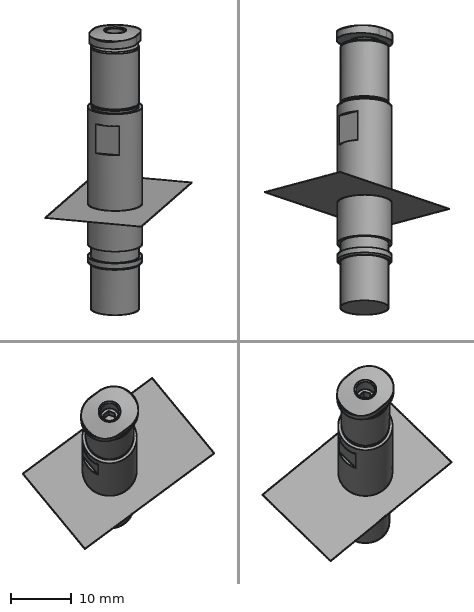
import cadquery as cq

total_height = 47.95

shaft_diameter = 8.0
shaft_radius = shaft_diameter / 2
sleeve_radius = 4.5
collar_radius = 3.95

flange_bottom = 7.85
flange_top = 9.05
sleeve_bottom = 11.12
plate_level = 18.13
sleeve_top = 34.75
collar_top = 35.3
barrel_bottom = 35.45
barrel_top = 45.3
neck_step = 45.7
head_bottom = 46.15

flange_chamfer = 0.3
collar_chamfer = 0.15
barrel_chamfer_in = 0.1
barrel_chamfer_height = 0.3

neck_radius = 2.2
neck_flare_radius = 2.45
head_length = 9.9
crown_height = 0.5
rim_chamfer_in = 0.15
rim_chamfer_height = 0.2

bore_radius = 1.55
bore_mouth_radius = 1.8
bore_mouth_depth = 0.2
bore_depth = 2.9
socket_flats = 1.9
socket_depth = 1.9

flat_bottom = 27.7
flat_top = 32.7
flat_offset = shaft_radius

plate_width = 16.7
plate_length = 27.15
plate_thickness = 0.05
plate_shift = 1.85


def make_pin():
    """Turned body from the lower end up to the underside of the head."""
    profile = [
        (0, 0),
        (shaft_radius, 0),
        (shaft_radius, flange_bottom),
        (sleeve_radius - flange_chamfer, flange_bottom),
        (sleeve_radius, flange_bottom + flange_chamfer),
        (sleeve_radius, flange_top),
        (shaft_radius, flange_top),
        (shaft_radius, sleeve_bottom),
        (sleeve_radius, sleeve_bottom),
        (sleeve_radius, sleeve_top),
        (collar_radius, sleeve_top),
        (collar_radius, collar_top - collar_chamfer),
        (collar_radius - collar_chamfer, collar_top),
        (collar_radius - collar_chamfer, barrel_bottom),
        (shaft_radius, barrel_bottom),
        (shaft_radius, barrel_top - barrel_chamfer_height),
        (shaft_radius - barrel_chamfer_in, barrel_top),
        (neck_radius, barrel_top),
        (neck_radius, neck_step),
        (neck_flare_radius, head_bottom),
        (0, head_bottom),
    ]
    return cq.Workplane("XZ").polyline(profile).close().revolve(360, (0, 0), (0, 1))


def make_head():
    """Oblong head, long along Y, trimmed on top by a shallow cone with a broken rim."""
    head_height = total_height - head_bottom
    oblong = (
        cq.Workplane("XY", origin=(0, 0, head_bottom))
        .slot2D(head_length, shaft_diameter, 90)
        .extrude(head_height)
    )
    end_radius = head_length / 2
    rim_level = total_height - crown_height
    crown_profile = [
        (0, head_bottom),
        (end_radius, head_bottom),
        (end_radius, rim_level - rim_chamfer_height),
        (end_radius - rim_chamfer_in, rim_level),
        (bore_mouth_radius, total_height),
        (0, total_height),
    ]
    crown = cq.Workplane("XZ").polyline(crown_profile).close().revolve(360, (0, 0), (0, 1))
    return oblong.intersect(crown)


def make_bore():
    """Blind bore with a chamfered mouth and a hexagon socket in its floor."""
    bore_floor = total_height - bore_depth
    bore_profile = [
        (0, bore_floor),
        (bore_radius, bore_floor),
        (bore_radius, total_height - bore_mouth_depth),
        (bore_mouth_radius, total_height),
        (0, total_height),
    ]
    bore = cq.Workplane("XZ").polyline(bore_profile).close().revolve(360, (0, 0), (0, 1))
    socket = (
        cq.Workplane("XY", origin=(0, 0, bore_floor))
        .polygon(6, socket_flats, circumscribed=True)
        .extrude(-socket_depth)
    )
    return bore.union(socket)


def make_flat_cutter(side):
    """Block that cuts one wrench flat; side is +1 or -1 along Y."""
    depth = sleeve_radius - flat_offset
    middle = (0, side * (flat_offset + depth / 2), (flat_bottom + flat_top) / 2)
    return cq.Workplane("XY").box(2 * sleeve_radius, depth, flat_top - flat_bottom).translate(middle)


def make_plate():
    """Thin panel around the sleeve."""
    return cq.Workplane("XY").box(plate_width, plate_length, plate_thickness).translate(
        (0, plate_shift, plate_level)
    )


result = make_pin().union(make_head()).cut(make_bore())
for side in (-1, 1):
    result = result.cut(make_flat_cutter(side))
result = result.union(make_plate())